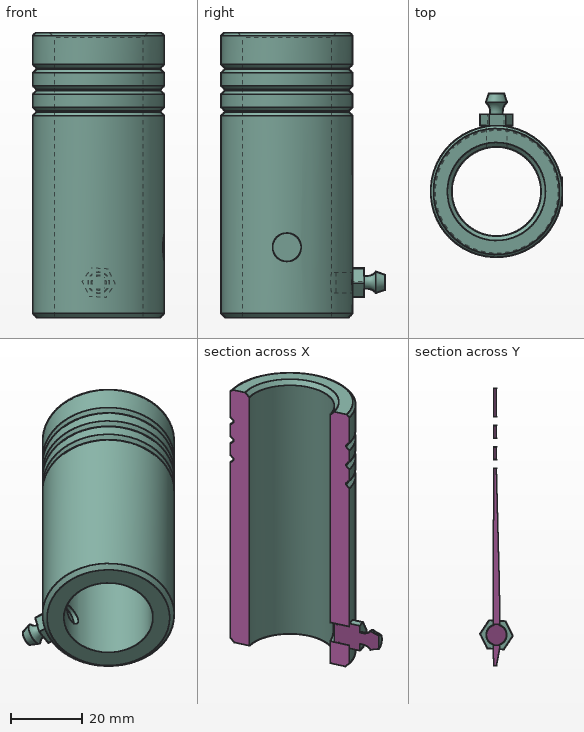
import cadquery as cq

LENGTH = 80.0
OUTER_RADIUS = 18.5
BORE_RADIUS = 12.5
TOP_CHAMFER = 0.8
BOTTOM_CHAMFER = 1.3
BORE_CHAMFER = 1.3

GROOVE_COUNT = 3
FIRST_GROOVE_DROP = 10.1
GROOVE_PITCH = 6.0
GROOVE_DEPTH = 1.0
GROOVE_MOUTH = 2.4
GROOVE_FLOOR = 0.3

PORT_RADIUS = 2.9
FITTING_HEIGHT = 10.0

PAD_RADIUS = 4.0
PAD_HEIGHT = 19.8

TIP_REACH = 46.0 - 2 * OUTER_RADIUS
SHANK_LENGTH = 4.8
HEX_HEIGHT = 3.2
HEX_FLATS = 8.0
HEX_TURN = 3.5
NECK_RADIUS = 1.8
NECK_END = 4.1
RIDGE_RADIUS = 3.0
RIDGE_REACH = TIP_REACH - 2.6
TIP_RADIUS = 2.2
THROAT_RADIUS = 2.1
THROAT_REACH = 5.3

HEX_CORNER_DIAMETER = HEX_FLATS / 0.75 ** 0.5


def groove_cutter(height):
    """Ring with the groove's trapezoid section, centred at the given height."""
    floor_radius = OUTER_RADIUS - GROOVE_DEPTH
    return (
        cq.Workplane("XZ")
        .moveTo(OUTER_RADIUS, height - GROOVE_MOUTH / 2)
        .lineTo(floor_radius, height - GROOVE_FLOOR / 2)
        .lineTo(floor_radius, height + GROOVE_FLOOR / 2)
        .lineTo(OUTER_RADIUS, height + GROOVE_MOUTH / 2)
        .close()
        .revolve(360, (0, 0), (0, 1))
    )


def port_cutter():
    """Cylinder from the sleeve axis outward through the +Y side of the wall."""
    return cq.Workplane(
        cq.Solid.makeCylinder(
            PORT_RADIUS, 2 * OUTER_RADIUS, cq.Vector(0, 0, FITTING_HEIGHT), cq.Vector(0, 1, 0)
        )
    )


def flat_pad():
    """Disc rooted inside the wall and reaching the sleeve's outermost X."""
    root = (BORE_RADIUS + OUTER_RADIUS) / 2
    return cq.Workplane(
        cq.Solid.makeCylinder(
            PAD_RADIUS, OUTER_RADIUS - root, cq.Vector(root, 0, PAD_HEIGHT), cq.Vector(1, 0, 0)
        )
    )


def make_sleeve():
    sleeve = (
        cq.Workplane("XZ")
        .moveTo(BORE_RADIUS, 0)
        .lineTo(OUTER_RADIUS - BOTTOM_CHAMFER, 0)
        .lineTo(OUTER_RADIUS, BOTTOM_CHAMFER)
        .lineTo(OUTER_RADIUS, LENGTH - TOP_CHAMFER)
        .lineTo(OUTER_RADIUS - TOP_CHAMFER, LENGTH)
        .lineTo(BORE_RADIUS + BORE_CHAMFER, LENGTH)
        .lineTo(BORE_RADIUS, LENGTH - BORE_CHAMFER)
        .close()
        .revolve(360, (0, 0), (0, 1))
    )
    for index in range(GROOVE_COUNT):
        sleeve = sleeve.cut(groove_cutter(LENGTH - FIRST_GROOVE_DROP - index * GROOVE_PITCH))
    return sleeve.cut(port_cutter()).union(flat_pad())


def make_grease_fitting():
    """Fitting built along +Z, then laid along +Y with its shank in the port."""
    shank = cq.Workplane("XY").circle(PORT_RADIUS).extrude(-SHANK_LENGTH)
    hexagon = (
        cq.Workplane("XY")
        .polygon(6, HEX_CORNER_DIAMETER)
        .extrude(HEX_HEIGHT)
        .rotate((0, 0, 0), (0, 0, 1), HEX_TURN)
    )
    nipple = (
        cq.Workplane("XZ")
        .lineTo(NECK_RADIUS, 0)
        .lineTo(NECK_RADIUS, NECK_END)
        .threePointArc((THROAT_RADIUS, THROAT_REACH), (RIDGE_RADIUS, RIDGE_REACH))
        .lineTo(TIP_RADIUS, TIP_REACH)
        .lineTo(0, TIP_REACH)
        .close()
        .revolve(360, (0, 0), (0, 1))
    )
    return (
        shank.union(hexagon)
        .union(nipple)
        .rotate((0, 0, 0), (1, 0, 0), -90)
        .translate((0, OUTER_RADIUS, FITTING_HEIGHT))
    )


sleeve = make_sleeve()
grease_fitting = make_grease_fitting()
result = cq.Compound.makeCompound([sleeve.val(), grease_fitting.val()])